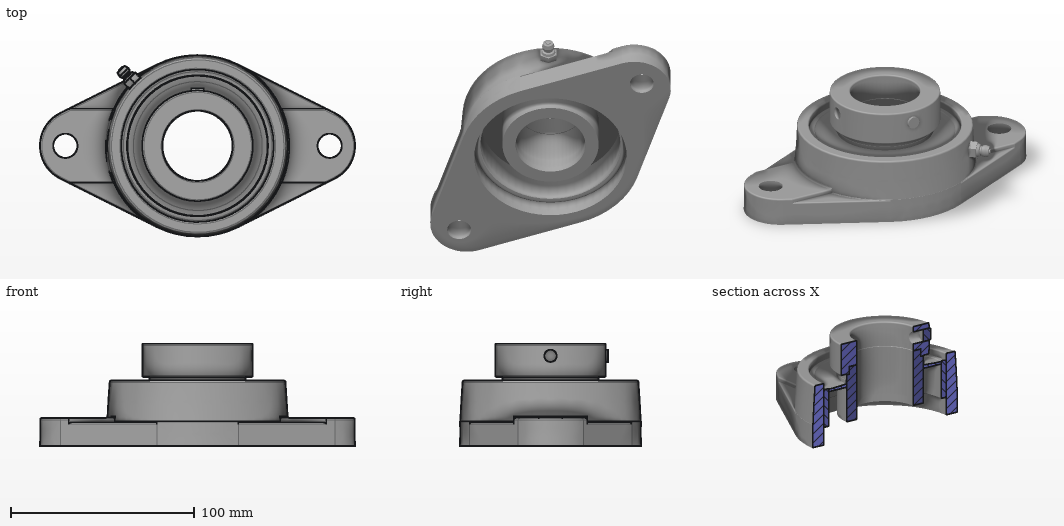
import cadquery as cq
import math

length = 172.0
flange_width = 99.0
hub_base_radius = flange_width / 2
lobe_radius = 20.0
lobe_center = length / 2 - lobe_radius
flange_height = 12.9
flange_edge_fillet = 0.7
side_draft = 0.5
pad_height = 15.3
pad_half_width = 20.1
pad_edge_fillet = 0.9
bolt_hole_diameter = 13.0
bolt_hole_spacing = 144.1
hub_height = 35.8
hub_top_radius = 48.0
hub_top_fillet = 1.0
flange_root_fillet = 0.5
pad_root_fillet = 0.9
bore_diameter = 83.2
tangent_sine = (hub_base_radius - lobe_radius) / lobe_center
tangent_cosine = math.sqrt(1 - tangent_sine**2)
arc_end = hub_base_radius * tangent_sine
hub_foot_radius = hub_base_radius - flange_height * math.tan(math.radians(side_draft))
bore_mouth_fillet = 0.9

bearing_top = 32.2
bearing_width = 22.0
bearing_bottom = bearing_top - bearing_width
outer_ring_fillet = 1.0
outer_ring_bore = 76.4
outer_ring_chamfer = 0.3
shoulder_diameter = 52.5
neck_diameter = 48.8
neck_top = 42.0
neck_chamfer = 0.3
shaft_diameter = 38.2
seal_step_diameter = 70.3
seal_thickness = 1.7
seal_cone_rise = 0.5
seal_lip_diameter = 53.1
seal_lip_top = 34.4

collar_diameter = 60.4
collar_bottom = 37.7
collar_top = 55.9
collar_fillet = 0.9
set_screw_diameter = 6.7
set_screw_height = 49.2
set_screw_inner_end = 25.8
set_screw_outer_end = 31.5
dimple_depth = 3.5

fitting_height = 26.1
fitting_shank_diameter = 6.0
fitting_start = 43.0
hex_start = 47.5
hex_end = 52.3
hex_flats = 8.6
fitting_cone_end = 53.7
fitting_cone_radius = 3.8
fitting_bead_radius = 3.35
fitting_neck_radius = 2.4
fitting_neck_start = 54.0
fitting_neck_end = 54.7
fitting_head_start = 55.2
fitting_head_radius = fitting_shank_diameter / 2
fitting_head_widest = 56.8
fitting_face = 59.0
fitting_face_radius = 2.8
fitting_tip = 59.5
fitting_tip_radius = 1.29
fitting_direction = 135

smallest_circle = cq.selectors.RadiusNthSelector(0)


def disc(diameter, bottom, top):
    return cq.Workplane("XY").workplane(offset=bottom).circle(diameter / 2).extrude(top - bottom)


def flange_block(height):
    """Rhombic block: a large arc at each side and a lobe at each end, joined by tangent lines."""
    lobe_x = lobe_center + lobe_radius * tangent_sine
    lobe_y = lobe_radius * tangent_cosine
    hub_y = hub_base_radius * tangent_cosine
    return (
        cq.Workplane("XY")
        .moveTo(-arc_end, hub_y)
        .threePointArc((0, hub_base_radius), (arc_end, hub_y))
        .lineTo(lobe_x, lobe_y)
        .threePointArc((length / 2, 0), (lobe_x, -lobe_y))
        .lineTo(arc_end, -hub_y)
        .threePointArc((0, -hub_base_radius), (-arc_end, -hub_y))
        .lineTo(-lobe_x, -lobe_y)
        .threePointArc((-length / 2, 0), (-lobe_x, lobe_y))
        .close()
        .extrude(height, taper=side_draft)
    )


def pad_strip(height):
    return cq.Workplane("XY").box(length, 2 * pad_half_width, height, centered=(True, True, False))


def hub_radius_at(height):
    share = (height - flange_height) / (hub_height - flange_height)
    return hub_foot_radius + share * (hub_top_radius - hub_foot_radius)


def root_fillet_ring(floor, radius):
    """Concave ring that rounds the corner between the hub and a floor around it."""
    foot = hub_radius_at(floor)
    top = floor + radius
    bulge = radius * (1 - math.sqrt(0.5))
    inner = bore_diameter / 2
    return (
        cq.Workplane("XZ")
        .moveTo(inner, floor)
        .lineTo(foot + radius, floor)
        .threePointArc((foot + bulge, floor + bulge), (hub_radius_at(top), top))
        .lineTo(inner, top)
        .close()
        .revolve(360, (0, 0, 0), (0, 1, 0))
    )


def make_hub():
    return (
        cq.Workplane("XZ")
        .moveTo(0, flange_height)
        .lineTo(hub_foot_radius, flange_height)
        .lineTo(hub_top_radius, hub_height)
        .lineTo(0, hub_height)
        .close()
        .revolve(360, (0, 0, 0), (0, 1, 0))
        .faces(">Z")
        .edges()
        .fillet(hub_top_fillet)
    )


def make_flange():
    """Flange with rounded top edges, except along the side arcs where the hub meets the edge."""
    sharp = flange_block(flange_height)
    rounded = sharp.faces(">Z").edges().fillet(flange_edge_fillet)
    middle = cq.Workplane("XY").box(2 * arc_end, flange_width, 2 * flange_height)
    return rounded.cut(middle).union(sharp.intersect(middle))


def make_housing(fitting):
    pads = flange_block(pad_height).intersect(pad_strip(pad_height))
    pads = pads.faces(">Z").edges().fillet(pad_edge_fillet)
    flange_root = root_fillet_ring(flange_height, flange_root_fillet)
    flange_root = flange_root.intersect(flange_block(hub_height))
    pad_root = root_fillet_ring(pad_height, pad_root_fillet).intersect(pad_strip(hub_height))
    body = make_flange().union(pads).union(make_hub()).union(pad_root).union(flange_root)
    bolt_holes = (
        cq.Workplane("XY")
        .pushPoints([(-bolt_hole_spacing / 2, 0), (bolt_hole_spacing / 2, 0)])
        .circle(bolt_hole_diameter / 2)
        .extrude(pad_height)
    )
    body = body.cut(bolt_holes).cut(disc(bore_diameter, 0, hub_height))
    body = body.faces(">Z").edges(smallest_circle).fillet(bore_mouth_fillet)
    return body.cut(fitting)


def make_outer_ring():
    ring = disc(bore_diameter, bearing_bottom, bearing_top).edges().fillet(outer_ring_fillet)
    ring = ring.cut(disc(outer_ring_bore, bearing_bottom, bearing_top))
    return ring.faces(">Z or <Z").edges(smallest_circle).chamfer(outer_ring_chamfer)


def make_inner_ring():
    ring = disc(shoulder_diameter, bearing_bottom, collar_bottom)
    ring = ring.union(disc(neck_diameter, collar_bottom, neck_top))
    ring = ring.cut(disc(shaft_diameter, bearing_bottom, neck_top))
    return ring.faces(">Z").edges(smallest_circle).chamfer(neck_chamfer)


def make_seal():
    """Flat rim, then a shallow cone that rises to a lip around the inner ring."""
    top = bearing_top - outer_ring_chamfer
    bottom = top - seal_thickness
    return (
        cq.Workplane("XZ")
        .moveTo(shoulder_diameter / 2, bottom)
        .lineTo(outer_ring_bore / 2, bottom)
        .lineTo(outer_ring_bore / 2, top)
        .lineTo(seal_step_diameter / 2, top)
        .lineTo(seal_lip_diameter / 2, top + seal_cone_rise)
        .lineTo(seal_lip_diameter / 2, seal_lip_top)
        .lineTo(shoulder_diameter / 2, seal_lip_top)
        .close()
        .revolve(360, (0, 0, 0), (0, 1, 0))
    )


def make_set_screw():
    """Screw along +Y through the collar wall."""
    return (
        cq.Workplane("XZ", origin=(0, set_screw_inner_end, set_screw_height))
        .circle(set_screw_diameter / 2)
        .extrude(set_screw_inner_end - set_screw_outer_end)
    )


def make_collar():
    collar = disc(collar_diameter, collar_bottom, collar_top).edges().fillet(collar_fillet)
    collar = collar.cut(disc(shaft_diameter, collar_bottom, collar_top))
    collar = collar.faces(">Z").edges(smallest_circle).fillet(collar_fillet)
    neck_recess = disc(neck_diameter, collar_bottom, neck_top)
    screw_hole = (
        cq.Workplane("XZ", origin=(0, 0, set_screw_height))
        .circle(set_screw_diameter / 2)
        .extrude(-collar_diameter)
    )
    dimple = (
        cq.Workplane("YZ", origin=(collar_diameter / 2 - dimple_depth, 0, set_screw_height))
        .circle(set_screw_diameter / 2)
        .extrude(collar_diameter)
    )
    return collar.cut(neck_recess).cut(screw_hole).cut(dimple)


def make_fitting():
    """Grease fitting, turned along +X and then swung to point between -X and +Y."""
    turned = (
        cq.Workplane("XY")
        .moveTo(fitting_start, 0)
        .lineTo(fitting_start, fitting_shank_diameter / 2)
        .lineTo(hex_end, fitting_shank_diameter / 2)
        .lineTo(hex_end, fitting_cone_radius)
        .lineTo(fitting_cone_end, fitting_bead_radius)
        .lineTo(fitting_neck_start, fitting_neck_radius)
        .lineTo(fitting_neck_end, fitting_neck_radius)
        .lineTo(fitting_head_start, fitting_head_radius)
        .lineTo(fitting_head_widest, fitting_bead_radius)
        .lineTo(fitting_face, fitting_face_radius)
        .lineTo(fitting_face, fitting_tip_radius)
        .lineTo(fitting_tip, fitting_tip_radius)
        .lineTo(fitting_tip, 0)
        .close()
        .revolve(360, (0, 0, 0), (1, 0, 0))
    )
    hexagon = (
        cq.Workplane("YZ", origin=(hex_start, 0, 0))
        .polygon(6, hex_flats, circumscribed=True)
        .extrude(hex_end - hex_start)
    )
    fitting = turned.union(hexagon).rotate((0, 0, 0), (0, 0, 1), fitting_direction)
    return fitting.translate((0, 0, fitting_height))


fitting = make_fitting()
housing = make_housing(fitting)
outer_ring = make_outer_ring()
inner_ring = make_inner_ring()
seal = make_seal()
collar = make_collar()
set_screw = make_set_screw()

result = cq.Compound.makeCompound([
    housing.val(),
    outer_ring.val(),
    inner_ring.val(),
    seal.val(),
    collar.val(),
    set_screw.val(),
    fitting.val(),
])